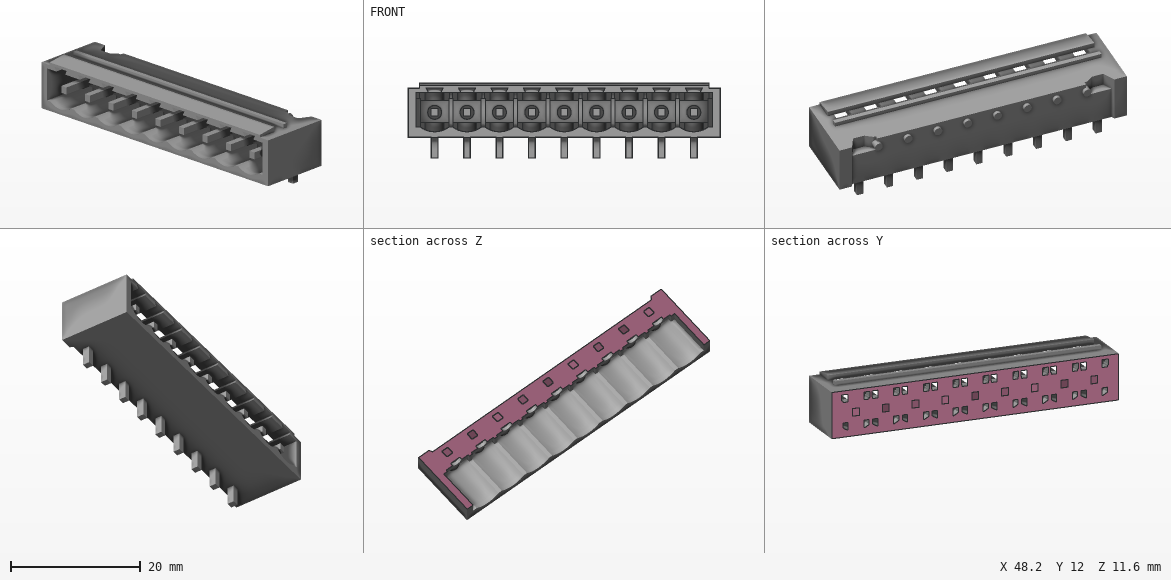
import cadquery as cq


pin_count = 9
pitch = 5.0
row_half = (pin_count - 1) * pitch / 2
pin_xs = [-row_half + i * pitch for i in range(pin_count)]
gap_xs = [x + pitch / 2 for x in pin_xs[:-1]]

length = 48.2
depth = 12.0
height = 7.6
front_y = -depth / 2
back_y = depth / 2

cavity_half = 22.88
cavity_top = 6.9
cavity_floor = 1.6
cavity_back_y = 3.2
bay_width = 4.36
bay_bottom = 0.87
bay_half = bay_width / 2
divider_width = pitch - bay_width

divider_front_y = 1.2
divider_top = 6.0
rib_width = 0.45
rib_front_y = 1.5
end_divider_inner_x = row_half + bay_half
end_rib_width = 0.53
end_rib_inner_x = cavity_half - end_rib_width

block_front_y = 1.5
block_bottom = 2.32
block_top = 5.72
column_radius = 1.45
column_base = bay_bottom / 2
recess_radius = 1.07
recess_depth = 0.5

rail_half = 22.35
lip_front_height = 0.45
lip_height = 0.83
lip_back_y = -2.73
lip_crest = 0.35
ridge_height = 0.7
ridge_front_y = -0.66
ridge_width = 0.75

slot_top_width = 2.6
slot_bottom_width = 1.9
slot_end_y = -1.8

back_wall_y = 5.45
end_block_inner_x = 22.0
notch_outer_x = 20.98
notch_middle_x = 19.1
notch_step_x = 17.9
notch_inner_x = gap_xs[-1]
notch_y = 4.0
notch_step_y = 4.85
notch_floor = 5.5
peg_radius = 0.65
peg_z = 6.3

pin_width = 1.05
pin_thickness = 1.14
pin_z = 3.87
pin_tip_y = -5.3
leg_y = 3.95
leg_length = 3.2


def box(x0, x1, y0, y1, z0, z1):
    """Axis-aligned box given by its limits."""
    return cq.Workplane("XY").box(x1 - x0, y1 - y0, z1 - z0, centered=False).translate((x0, y0, z0))


def centered_box(x, width, y0, y1, z0, z1):
    """Box whose X extent is centered on x."""
    return box(x - width / 2, x + width / 2, y0, y1, z0, z1)


def extrude_along_y(profile, y0, y1):
    """Extrude a profile drawn on the XZ plane from y0 to y1."""
    return profile.extrude(-(y1 - y0)).translate((0, y0, 0))


def cavity():
    """Mating cavity: a flat-floored mouth with a round trough under every pin."""
    shape = box(-cavity_half, cavity_half, front_y, cavity_back_y, cavity_floor, cavity_top)
    for x in pin_xs:
        trough = (
            cq.Workplane("XZ")
            .moveTo(x - bay_half, cavity_floor)
            .threePointArc((x, bay_bottom), (x + bay_half, cavity_floor))
            .close()
        )
        shape = shape.union(extrude_along_y(trough, front_y, cavity_back_y))
    return shape


def divider(x0, x1, rib_x0, rib_x1):
    """Upright between two bays, with a narrower, set-back rib up to the ceiling."""
    post = box(x0, x1, divider_front_y, cavity_back_y, cavity_floor, divider_top)
    rib = box(rib_x0, rib_x1, rib_front_y, cavity_back_y, divider_top, cavity_top)
    return post.union(rib)


def dividers():
    """All uprights: one in each gap and one against each end wall."""
    shape = divider(end_divider_inner_x, cavity_half, end_rib_inner_x, cavity_half)
    shape = shape.union(divider(-cavity_half, -end_divider_inner_x, -cavity_half, -end_rib_inner_x))
    for x in gap_xs:
        post_half = divider_width / 2
        rib_half = rib_width / 2
        shape = shape.union(divider(x - post_half, x + post_half, x - rib_half, x + rib_half))
    return shape


def pin_support(x):
    """Block around a pin on a half-round column, with a round recess at the pin."""
    block = centered_box(x, bay_width, block_front_y, cavity_back_y, block_bottom, block_top)
    column = (
        cq.Workplane("XY")
        .center(x, cavity_back_y)
        .circle(column_radius)
        .extrude(cavity_top - column_base)
        .translate((0, 0, column_base))
    )
    recess = cq.Workplane("XZ").center(x, pin_z).circle(recess_radius)
    return block.union(column).cut(extrude_along_y(recess, block_front_y, block_front_y + recess_depth))


def lip():
    """Latching lip above the mouth, rising from the front edge to a flat crest."""
    return (
        cq.Workplane("YZ")
        .moveTo(front_y, height)
        .lineTo(front_y, height + lip_front_height)
        .lineTo(lip_back_y - lip_crest, height + lip_height)
        .lineTo(lip_back_y, height + lip_height)
        .lineTo(lip_back_y, height)
        .close()
        .extrude(rail_half, both=True)
    )


def ridge():
    """Straight rib on the top face behind the lip."""
    return box(-rail_half, rail_half, ridge_front_y, ridge_front_y + ridge_width, height, height + ridge_height)


def coding_slot(x):
    """Tapered slot through the top wall, wider at the top, passing under the lip."""
    profile = (
        cq.Workplane("XZ")
        .moveTo(x - slot_top_width / 2, height)
        .lineTo(x + slot_top_width / 2, height)
        .lineTo(x + slot_bottom_width / 2, cavity_top)
        .lineTo(x - slot_bottom_width / 2, cavity_top)
        .close()
    )
    return extrude_along_y(profile, front_y, slot_end_y)


def back_recess():
    """Full-height recess that leaves a slanted block at each end of the back."""
    slope = (end_block_inner_x - notch_outer_x) / (back_y - notch_y)
    wall_x = end_block_inner_x - slope * (back_y - back_wall_y)
    return (
        cq.Workplane("XY")
        .moveTo(-end_block_inner_x, back_y)
        .lineTo(-wall_x, back_wall_y)
        .lineTo(wall_x, back_wall_y)
        .lineTo(end_block_inner_x, back_y)
        .close()
        .extrude(height)
    )


def corner_notch():
    """Notch in the upper back edge beside the +X end block."""
    return (
        cq.Workplane("XY")
        .moveTo(end_block_inner_x, back_y)
        .lineTo(notch_outer_x, notch_y)
        .lineTo(notch_middle_x, notch_y)
        .lineTo(notch_step_x, notch_step_y)
        .lineTo(notch_inner_x, notch_step_y)
        .lineTo(notch_inner_x, back_y)
        .close()
        .extrude(height - notch_floor)
        .translate((0, 0, notch_floor))
    )


def back_peg(x):
    """Round peg on the back wall, midway between two pins."""
    return extrude_along_y(cq.Workplane("XZ").center(x, peg_z).circle(peg_radius), notch_y, back_y)


def make_pin(x):
    """Right-angle contact: a blade along Y and a solder leg down through the underside."""
    half = pin_thickness / 2
    blade = centered_box(x, pin_width, pin_tip_y, leg_y + half, pin_z - half, pin_z + half)
    leg = centered_box(x, pin_width, leg_y - half, leg_y + half, -leg_length, pin_z + half)
    return blade.union(leg)


def make_housing():
    """Housing with its cavity, top rails and back details."""
    body = centered_box(0, length, front_y, back_y, 0, height).cut(cavity())
    body = body.union(dividers()).union(lip()).union(ridge()).cut(back_recess())
    for x in pin_xs:
        body = body.union(pin_support(x)).cut(coding_slot(x))
    notch = corner_notch()
    body = body.cut(notch).cut(notch.mirror("YZ"))
    for x in gap_xs:
        body = body.union(back_peg(x))
    return body


pins = [make_pin(x) for x in pin_xs]
housing = make_housing()
for pin in pins:
    housing = housing.cut(pin)

result = cq.Compound.makeCompound([housing.solids().val(), *[pin.solids().val() for pin in pins]])